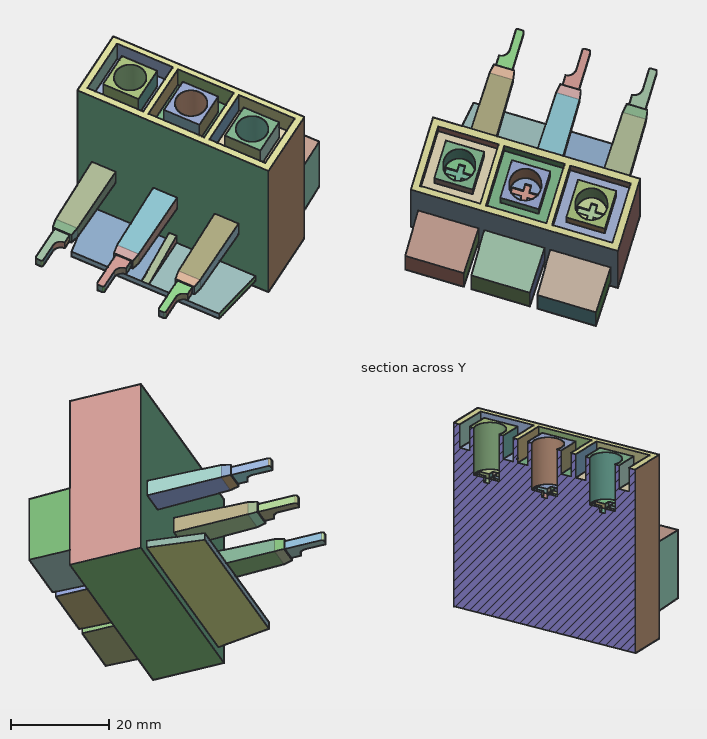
import cadquery as cq


housing_width = 44.0
housing_height = 40.8
overall_depth = 51.95
pole_count = 3

pocket_size = 12.85
pocket_depth = 5.2
pole_partition = 1.2
pole_pitch = pocket_size + pole_partition
front_wall = 1.5
pocket_centre_y = front_wall + pocket_size / 2
post_size = 8.15
screw_hole_diameter = 6.6
screw_hole_depth = 10.4
cross_length = 5.9
cross_height = 4.1
cross_arm_width = 1.25
cross_depth = 1.05

block_length = 9.7
block_root_height = 15.5
block_taper = 0.35
block_centre_z = 12.6

pin_pitch = 14.15
pin_offset = -1.75
pin_centre_z = 17.05
pin_root = (5.5, 3.65)
pin_neck = (5.0, 3.05)
pin_end = (4.35, 2.55)
pin_neck_y = -16.15
pin_end_y = -18.15
pin_length = 26.6
blade_width = 3.5
blade_tip_width = 1.7
blade_thickness = 2.0
blade_step_y = -20.25
blade_tip_radius = 0.4

shelf_root_width = 38.05
shelf_end_width = 34.0
shelf_length = 12.0
shelf_bottom_z = 2.0
shelf_thickness = 1.65
shelf_top_z = shelf_bottom_z + shelf_thickness
rib_width = 1.7
rib_top_z = 6.0

housing_depth = overall_depth - block_length - pin_length


def row_positions(pitch, offset=0.0):
    """X positions of one feature per pole, centred on the offset."""
    return [offset + (i - (pole_count - 1) / 2) * pitch for i in range(pole_count)]


def tapered_bar(x, z, start_y, start_size, end_y, end_size):
    """Rectangular bar along Y whose (width, height) changes from start to end."""
    length = start_y - end_y
    return (
        cq.Workplane("XZ", origin=(x, start_y, z))
        .rect(*start_size)
        .workplane(offset=length)
        .rect(*end_size)
        .loft(ruled=True)
    )


def make_housing():
    return cq.Workplane("XY").box(
        housing_width, housing_depth, housing_height, centered=(True, False, False)
    )


def terminal_cut(x):
    """Pocket around a square post, with a cross-slotted screw down the post."""
    top = cq.Workplane("XY", origin=(x, pocket_centre_y, housing_height))
    screw_head = top.workplane(offset=-screw_hole_depth)
    pocket = top.rect(pocket_size, pocket_size).rect(post_size, post_size).extrude(-pocket_depth)
    hole = top.circle(screw_hole_diameter / 2).extrude(-screw_hole_depth)
    slot_x = screw_head.rect(cross_length, cross_arm_width).extrude(-cross_depth)
    slot_y = screw_head.rect(cross_arm_width, cross_height).extrude(-cross_depth)
    return pocket.union(hole.union(slot_x).union(slot_y))


def back_block(x):
    root_size = (pocket_size, block_root_height)
    end_size = (pocket_size - block_taper, block_root_height - block_taper)
    end_y = housing_depth + block_length
    return tapered_bar(x, block_centre_z, end_y, end_size, housing_depth, root_size)


def contact_pin(x):
    """Two tapered stages, then a flat blade that steps down to a narrow tip."""
    shank = tapered_bar(x, pin_centre_z, 0, pin_root, pin_neck_y, pin_neck)
    shoulder = tapered_bar(x, pin_centre_z, pin_neck_y, pin_neck, pin_end_y, pin_end)

    left = -blade_width / 2
    right = blade_width / 2
    tip_right = left + blade_tip_width
    step_radius = blade_width - blade_tip_width
    blade = (
        cq.Workplane("XY", origin=(x, 0, pin_centre_z - blade_thickness / 2))
        .moveTo(left, pin_end_y)
        .lineTo(right, pin_end_y)
        .lineTo(right, blade_step_y)
        .radiusArc((tip_right, blade_step_y - step_radius), -step_radius)
        .lineTo(tip_right, -pin_length)
        .lineTo(left, -pin_length)
        .close()
        .extrude(blade_thickness)
    )
    blade = blade.faces("<Y").edges("|Z").fillet(blade_tip_radius)
    return shank.union(shoulder).union(blade)


def shelf():
    root = shelf_root_width / 2
    end = shelf_end_width / 2
    plate = (
        cq.Workplane("XY", origin=(0, 0, shelf_bottom_z))
        .polyline([(-root, 0), (root, 0), (end, -shelf_length), (-end, -shelf_length)])
        .close()
        .extrude(shelf_thickness)
    )
    rib = (
        cq.Workplane("YZ")
        .polyline([
            (0, shelf_bottom_z),
            (0, rib_top_z),
            (-shelf_length, shelf_top_z),
            (-shelf_length, shelf_bottom_z),
        ])
        .close()
        .extrude(rib_width / 2, both=True)
    )
    return plate.union(rib)


result = make_housing().union(shelf())
for pole_x in row_positions(pole_pitch):
    result = result.cut(terminal_cut(pole_x)).union(back_block(pole_x))
for pin_x in row_positions(pin_pitch, pin_offset):
    result = result.union(contact_pin(pin_x))